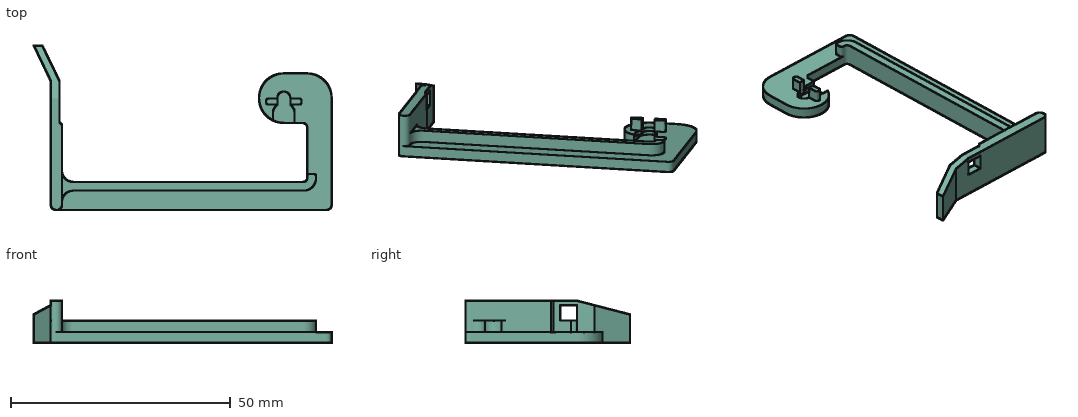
import cadquery as cq
import math

length = 67.9
depth = 37.5
wall_height = 9.65

plate_thickness = 2.45
rail_top = 5.1
rail_front = 4.4
rail_width = 2.05
rail_back = rail_front + rail_width
rail_root_radius = 2.5
rail_end_y = 8.2
rail_end_radius = 0.5
arm_inner_x = 62.25
inner_corner_radius = 0.8
outer_corner_radius = 1.2

wall_x = 3.9
wall_thickness = 2.6
wall_inner_x = wall_x + wall_thickness
thin_wall_thickness = 2.05
thin_wall_x = wall_x + thin_wall_thickness
thinning_y = 19.5
bend_y = 29.4
tip_width = 2.0
taper_start_y = 25.4
tip_height = 6.5
window_y = 21.6
window_width = 3.8
window_bottom = 5.15
window_height = 3.4

hook_bottom = 19.8
hook_top = 31.15
hook_radius = (hook_top - hook_bottom) / 2
hook_x = 56.95
hook_y = hook_bottom + hook_radius
hook_corner_radius = 1.0

pocket_floor = 0.5
ledge_bottom = 1.6
neck_radius = 1.5
mouth_radius = 2.45
mouth_y = 22.05
peg_reach = 4.0
peg_top = rail_top
peg_width = 1.35
peg_y = 24.7
peg_radius = 0.5


def box(x0, x1, y0, y1, z0, z1):
    return cq.Workplane("XY").box(x1 - x0, y1 - y0, z1 - z0, centered=False).translate((x0, y0, z0))


def make_wall():
    """Upright wall, thinned toward its bent tip, with a sloping top and a window."""
    wall = (
        cq.Workplane("XY")
        .moveTo(wall_x, 0)
        .lineTo(wall_inner_x, 0)
        .lineTo(wall_inner_x, thinning_y)
        .lineTo(thin_wall_x, thinning_y + wall_inner_x - thin_wall_x)
        .lineTo(thin_wall_x, bend_y)
        .lineTo(tip_width, depth)
        .lineTo(0, depth)
        .lineTo(wall_x, bend_y)
        .close()
        .extrude(wall_height)
        .edges("|Z and <Y")
        .fillet(outer_corner_radius)
    )
    taper = (
        cq.Workplane("YZ")
        .moveTo(taper_start_y, wall_height)
        .lineTo(depth, tip_height)
        .lineTo(depth, wall_height)
        .close()
        .extrude(wall_inner_x)
    )
    window = box(wall_x, wall_inner_x, window_y, window_y + window_width,
                 window_bottom, window_bottom + window_height)
    return wall.cut(taper).cut(window)


def make_plate():
    """Flat strip that turns up the arm and back along the hook."""
    strip_start = wall_x + outer_corner_radius
    root_x = wall_inner_x + rail_root_radius
    diagonal = math.sqrt(0.5)
    arc_inset = rail_root_radius * (1 - diagonal)
    return (
        cq.Workplane("XY")
        .moveTo(strip_start, 0)
        .lineTo(length - outer_corner_radius, 0)
        .radiusArc((length, outer_corner_radius), -outer_corner_radius)
        .lineTo(length, hook_top - hook_radius)
        .radiusArc((length - hook_radius, hook_top), -hook_radius)
        .lineTo(hook_x, hook_top)
        .threePointArc((hook_x - hook_radius, hook_y), (hook_x, hook_bottom))
        .lineTo(arm_inner_x - hook_corner_radius, hook_bottom)
        .radiusArc((arm_inner_x, hook_bottom - hook_corner_radius), hook_corner_radius)
        .lineTo(arm_inner_x, rail_back + inner_corner_radius)
        .radiusArc((arm_inner_x - inner_corner_radius, rail_back), inner_corner_radius)
        .lineTo(root_x, rail_back)
        .threePointArc(
            (wall_inner_x + arc_inset, rail_back + arc_inset),
            (wall_inner_x, rail_back + rail_root_radius),
        )
        .lineTo(strip_start, rail_back + rail_root_radius)
        .close()
        .extrude(plate_thickness)
    )


def make_rail():
    """Rail flared into the wall at one end and curled up the arm at the other."""
    root_x = wall_inner_x + rail_root_radius
    curl_x = arm_inner_x - inner_corner_radius
    curl_y = rail_back + inner_corner_radius
    curl_radius = inner_corner_radius + rail_width
    rail_end_x = curl_x + curl_radius
    return (
        cq.Workplane("XY")
        .moveTo(wall_inner_x, rail_front - rail_root_radius)
        .radiusArc((root_x, rail_front), rail_root_radius)
        .lineTo(curl_x, rail_front)
        .radiusArc((rail_end_x, curl_y), -curl_radius)
        .lineTo(rail_end_x, rail_end_y - rail_end_radius)
        .radiusArc((rail_end_x - rail_end_radius, rail_end_y), -rail_end_radius)
        .lineTo(arm_inner_x + rail_end_radius, rail_end_y)
        .radiusArc((arm_inner_x, rail_end_y - rail_end_radius), -rail_end_radius)
        .lineTo(arm_inner_x, curl_y)
        .radiusArc((curl_x, rail_back), inner_corner_radius)
        .lineTo(root_x, rail_back)
        .radiusArc((wall_inner_x, rail_back + rail_root_radius), rail_root_radius)
        .close()
        .extrude(rail_top)
    )


def make_slot(radius, end_y, bottom, top):
    """Round-ended slot running along Y from the hook's edge to a centre at end_y."""
    end = cq.Workplane("XY", origin=(hook_x, end_y, bottom)).circle(radius).extrude(top - bottom)
    return end.union(box(hook_x - radius, hook_x + radius, hook_bottom, end_y, bottom, top))


def make_pocket():
    """Keyhole open at the hook's edge, with a wide slot undercutting its narrow neck."""
    neck = make_slot(neck_radius, hook_y, pocket_floor, plate_thickness)
    mouth = make_slot(mouth_radius, mouth_y, pocket_floor, plate_thickness)
    undercut = make_slot(mouth_radius, hook_y, pocket_floor, ledge_bottom)
    return neck.union(mouth).union(undercut)


def make_peg(side):
    """Peg beside the neck, rounded at its outer end; side is -1 or 1 along X."""
    inner_x = hook_x + side * neck_radius
    outer_x = hook_x + side * peg_reach
    peg = box(min(inner_x, outer_x), max(inner_x, outer_x),
              peg_y - peg_width / 2, peg_y + peg_width / 2, ledge_bottom, peg_top)
    outer_face = ">X" if side > 0 else "<X"
    return peg.faces(outer_face).edges("|Z").fillet(peg_radius)


result = make_plate().union(make_wall()).union(make_rail()).cut(make_pocket())
for side in (-1, 1):
    result = result.union(make_peg(side))